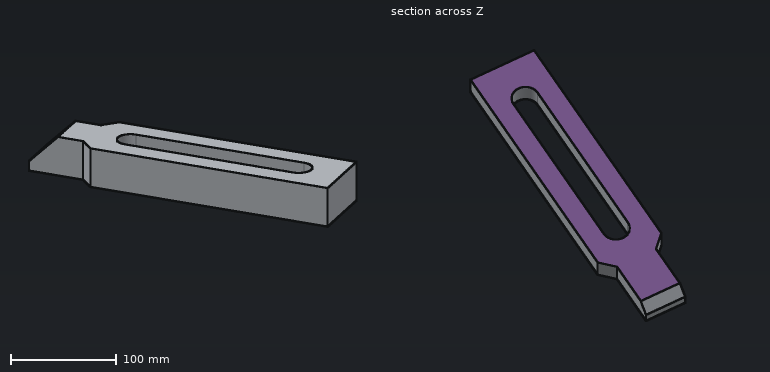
import cadquery as cq

length = 315.0
width = 70.0
height = 40.0

nose_width = 43.0
shoulder_start = 56.0
shoulder_run = (width - nose_width) / 2
shoulder_end = shoulder_start + shoulder_run

tip_height = 10.0
bevel_run = height - tip_height

slot_start = 83.0
slot_length = 200.0
slot_width = 26.0
slot_center = slot_start + slot_length / 2


def make_body():
    """Bar with its nose, extruded from the plan outline, symmetric about Y = 0."""
    half_outline = [
        (0, 0),
        (0, nose_width / 2),
        (shoulder_start, nose_width / 2),
        (shoulder_end, width / 2),
        (length, width / 2),
        (length, 0),
    ]
    return cq.Workplane("XY").polyline(half_outline).mirrorX().extrude(height)


def make_bevel_cutter():
    """Triangular prism above the sloping nose face."""
    corners = [(0, tip_height), (bevel_run, height), (0, height)]
    return cq.Workplane("XZ").polyline(corners).close().extrude(width / 2, both=True)


def make_slot_cutter():
    """Round-ended prism through the full height."""
    return (
        cq.Workplane("XY")
        .center(slot_center, 0)
        .slot2D(slot_length, slot_width)
        .extrude(height)
    )


result = make_body().cut(make_bevel_cutter()).cut(make_slot_cutter())